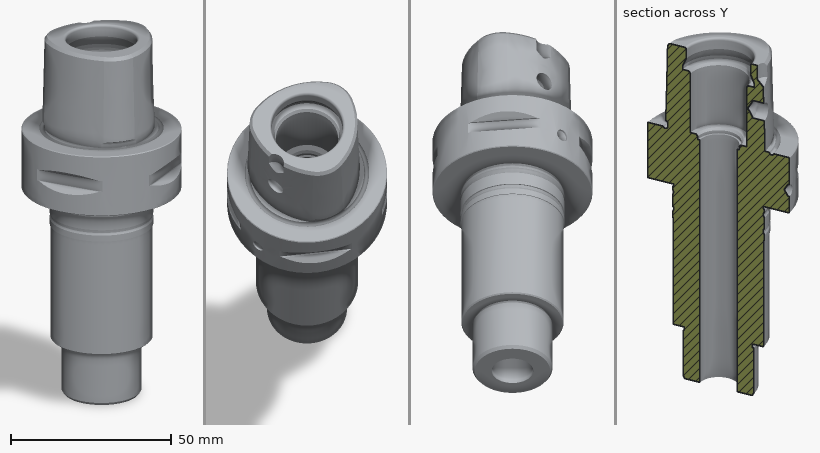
import cadquery as cq
import math

total_height = 118.5
shank_height = 30.1
flange_height = 19.9
nose_height = 18.4
flange_top = total_height - shank_height
flange_bottom = flange_top - flange_height

shank_radius = 17.5
lobe_height = 1.13
shank_taper = 1 / 40
taper_start = flange_top + 2.3
tip_chamfer_height = 1.1
tip_chamfer_inset = 0.8
undercut_radius = 17.9
undercut_fillet = 1.0

flange_diameter = 50.0
flange_chamfer = 0.2
lip_height = 0.1
face_groove_inner_radius = 17.9
face_groove_outer_radius = 19.4
face_groove_depth = 0.6

body_diameter = 32.0
band_diameter = 32.5
collar_groove_diameter = 31.8
body_chamfer = 0.4
nose_diameter = 25.0
nose_neck_diameter = 24.0
nose_neck_height = 1.1
nose_chamfer_height = 1.0
nose_chamfer_inset = 0.7

band_1_start = 0.5
band_1_full = 1.2
band_1_end = 1.9
band_2_start = 3.8
band_2_end = 8.2
collar_groove_2_slope = 9.2
band_3_start = 10.0
band_3_end = 12.0

mouth_diameter = 24.0
mouth_round = 0.8
clamp_groove_diameter = 25.0
guide_diameter = 21.0
socket_diameter = 19.5
clamp_flare_start = 3.9
clamp_flare_end = 6.9
clamp_groove_floor = 8.0
socket_start = 8.9
socket_end = 30.0
through_diameter = 13.0
counterbore_diameter = 14.3
counterbore_depth = 1.8
counterbore_mouth_diameter = 15.8

slot_count = 4
first_slot_angle = 45
slot_floor_distance = 22.3
slot_flare_distance = 22.8
slot_floor_width = 3.7
slot_mouth_width = 7.1
slot_level = flange_top - flange_height / 2

dimple_point_angle = 118
notch_point_angle = 90
shank_dimple_diameter = 6.0
shank_dimple_level = total_height - 16.1
shank_dimple_depth = 3.9
flange_dimple_diameter = 4.0
flange_dimple_level = flange_top - 11.8
flange_dimple_depth = 0.6
tip_notch_diameter = 6.4
tip_notch_depth = 5.1
tip_notch_x = -17.0

overlap = 1.2


def lobed_outline(radius, z):
    """Closed wire of three lobe arcs and three flank arcs, meeting tangentially."""
    centre_offset = 2 * lobe_height / (2 - math.sqrt(3))
    lobe_radius = radius + lobe_height - centre_offset

    def turned(x, y, angle):
        c = math.cos(math.radians(angle))
        s = math.sin(math.radians(angle))
        return (x * c - y * s, x * s + y * c)

    joint_x = centre_offset + lobe_radius * math.cos(math.radians(30))
    joint_y = lobe_radius * math.sin(math.radians(30))
    outline = cq.Workplane("XY", origin=(0, 0, z)).moveTo(joint_x, -joint_y)
    for angle in (0, 120, 240):
        outline = outline.threePointArc(
            turned(radius + lobe_height, 0, angle),
            turned(joint_x, joint_y, angle),
        )
        outline = outline.threePointArc(
            turned(radius - lobe_height, 0, angle + 60),
            turned(joint_x, -joint_y, angle + 120),
        )
    return outline.wire().val()


def loft_shank(lower_radius, lower_z, upper_radius, upper_z):
    wires = [lobed_outline(lower_radius, lower_z), lobed_outline(upper_radius, upper_z)]
    return cq.Workplane(cq.Solid.makeLoft(wires, True))


def make_shank():
    chamfer_start = total_height - tip_chamfer_height
    chamfer_radius = shank_radius - shank_taper * (chamfer_start - taper_start)
    tip_radius = chamfer_radius - tip_chamfer_inset
    relief_base = flange_top - overlap
    root = loft_shank(shank_radius, relief_base, shank_radius, taper_start)
    fillet_start = taper_start - undercut_fillet
    fillet_mid = undercut_fillet * math.sin(math.radians(45))
    relief = (
        cq.Workplane("XZ")
        .moveTo(0, relief_base)
        .lineTo(undercut_radius, relief_base)
        .lineTo(undercut_radius, fillet_start)
        .threePointArc(
            (undercut_radius + undercut_fillet - fillet_mid, fillet_start + fillet_mid),
            (undercut_radius + undercut_fillet, taper_start),
        )
        .lineTo(0, taper_start)
        .close()
        .revolve(360, (0, 0), (0, 1))
    )
    taper = loft_shank(shank_radius, taper_start, chamfer_radius, chamfer_start)
    tip = loft_shank(chamfer_radius, chamfer_start, tip_radius, total_height)
    return root.intersect(relief).union(taper).union(tip)


def make_turned_body():
    """Flange, collar, body and nose as one turned solid."""
    flange_r = flange_diameter / 2
    body_r = body_diameter / 2
    band_r = band_diameter / 2
    collar_r = collar_groove_diameter / 2
    nose_r = nose_diameter / 2
    neck_r = nose_neck_diameter / 2
    lip_z = flange_top + lip_height
    groove_mid_r = (face_groove_inner_radius + face_groove_outer_radius) / 2
    collar_groove_mid = (band_1_end + band_2_start) / 2
    neck_bottom = nose_height - nose_neck_height
    outline = (
        cq.Workplane("XZ")
        .moveTo(0, 0)
        .lineTo(nose_r - nose_chamfer_inset, 0)
        .lineTo(nose_r, nose_chamfer_height)
        .lineTo(nose_r, neck_bottom)
        .lineTo(neck_r, neck_bottom)
        .lineTo(neck_r, nose_height)
        .lineTo(body_r - body_chamfer, nose_height)
        .lineTo(body_r, nose_height + body_chamfer)
        .lineTo(body_r, flange_bottom - band_3_end)
        .lineTo(band_r, flange_bottom - band_3_end)
        .lineTo(band_r, flange_bottom - band_3_start)
        .lineTo(collar_r, flange_bottom - collar_groove_2_slope)
        .lineTo(collar_r, flange_bottom - band_2_end)
        .lineTo(band_r, flange_bottom - band_2_end)
        .lineTo(band_r, flange_bottom - band_2_start)
        .threePointArc(
            (collar_r, flange_bottom - collar_groove_mid),
            (band_r, flange_bottom - band_1_end),
        )
        .lineTo(band_r, flange_bottom - band_1_full)
        .lineTo(collar_r, flange_bottom - band_1_start)
        .lineTo(collar_r, flange_bottom)
        .lineTo(flange_r - flange_chamfer, flange_bottom)
        .lineTo(flange_r, flange_bottom + flange_chamfer)
        .lineTo(flange_r, flange_top - flange_chamfer)
        .lineTo(flange_r - flange_chamfer, flange_top)
        .lineTo(face_groove_outer_radius, flange_top)
        .threePointArc(
            (groove_mid_r, flange_top - face_groove_depth),
            (face_groove_inner_radius, lip_z),
        )
        .lineTo(0, lip_z)
        .close()
    )
    return outline.revolve(360, (0, 0), (0, 1))


def make_bore():
    socket_floor = total_height - socket_end
    counterbore_chamfer = (counterbore_mouth_diameter - counterbore_diameter) / 2
    entry_diameter = mouth_diameter - 2 * mouth_round
    steps = [
        (entry_diameter, total_height - clamp_flare_start),
        (clamp_groove_diameter, total_height - clamp_flare_end),
        (clamp_groove_diameter, total_height - clamp_groove_floor),
        (guide_diameter, total_height - clamp_groove_floor),
        (socket_diameter, total_height - socket_start),
        (socket_diameter, socket_floor),
        (counterbore_mouth_diameter, socket_floor),
        (counterbore_diameter, socket_floor - counterbore_chamfer),
        (counterbore_diameter, socket_floor - counterbore_depth),
        (through_diameter, socket_floor - counterbore_depth),
        (through_diameter, 0),
    ]
    mouth_radius = mouth_diameter / 2
    round_mid = mouth_round * math.sin(math.radians(45))
    outline = (
        cq.Workplane("XZ")
        .moveTo(0, total_height)
        .lineTo(mouth_radius, total_height)
        .threePointArc(
            (mouth_radius - round_mid, total_height - mouth_round + round_mid),
            (mouth_radius - mouth_round, total_height - mouth_round),
        )
    )
    for diameter, z in steps:
        outline = outline.lineTo(diameter / 2, z)
    return outline.lineTo(0, 0).close().revolve(360, (0, 0), (0, 1))


def make_gripper_slot(angle):
    """Flat-floored slot with flared sides, running tangentially across the rim."""
    rim_radius = flange_diameter / 2
    flare = (slot_mouth_width - slot_floor_width) / 2
    flare_per_depth = flare / (rim_radius - slot_flare_distance)
    cut_radius = rim_radius + overlap
    floor_half_width = slot_floor_width / 2
    cut_half_width = floor_half_width + flare_per_depth * (cut_radius - slot_flare_distance)
    return (
        cq.Workplane("XZ")
        .polyline([
            (slot_floor_distance, slot_level - floor_half_width),
            (slot_flare_distance, slot_level - floor_half_width),
            (cut_radius, slot_level - cut_half_width),
            (cut_radius, slot_level + cut_half_width),
            (slot_flare_distance, slot_level + floor_half_width),
            (slot_floor_distance, slot_level + floor_half_width),
        ])
        .close()
        .extrude(rim_radius, both=True)
        .rotate((0, 0, 0), (0, 0, 1), angle)
    )


def make_drill(diameter, length, start, direction, point_angle):
    """Cylinder from start along direction, ending in a conical point."""
    radius = diameter / 2
    axis = cq.Vector(*direction)
    begin = cq.Vector(*start)
    point_length = radius / math.tan(math.radians(point_angle / 2))
    shaft = cq.Solid.makeCylinder(radius, length, begin, axis)
    point = cq.Solid.makeCone(radius, 0, point_length, begin + axis * length, axis)
    return cq.Workplane(shaft).union(cq.Workplane(point))


def make_side_dimple(diameter, depth, surface_x, level):
    start_x = -flange_diameter / 2 - overlap
    length = surface_x + depth - start_x
    return make_drill(diameter, length, (start_x, 0, level), (1, 0, 0), dimple_point_angle)


result = make_turned_body().union(make_shank()).cut(make_bore())

for index in range(slot_count):
    result = result.cut(make_gripper_slot(first_slot_angle + index * 360 / slot_count))

shank_flank_x = lobe_height - shank_radius + shank_taper * (shank_dimple_level - taper_start)
shank_dimple = make_side_dimple(
    shank_dimple_diameter, shank_dimple_depth, shank_flank_x, shank_dimple_level
)
flange_dimple = make_side_dimple(
    flange_dimple_diameter, flange_dimple_depth, -flange_diameter / 2, flange_dimple_level
)
tip_notch = make_drill(
    tip_notch_diameter, tip_notch_depth, (tip_notch_x, 0, total_height), (0, 0, -1), notch_point_angle
)
result = result.cut(shank_dimple).cut(flange_dimple).cut(tip_notch)